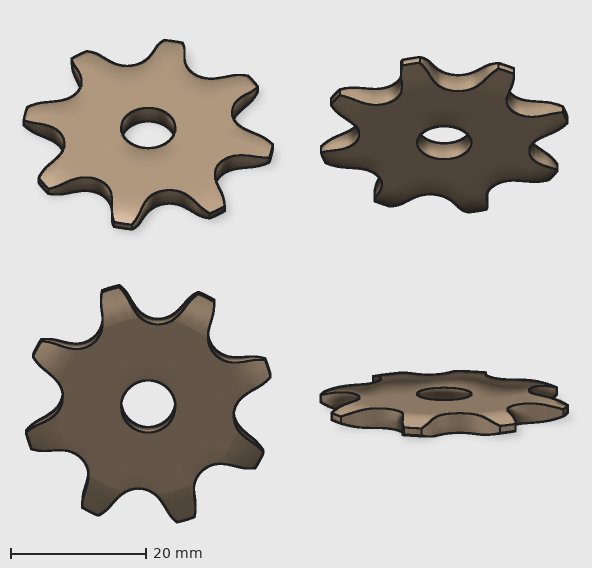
import cadquery as cq
import math

tooth_count = 8
thickness = 3.0
bore_diameter = 8.0
pitch_radius = 16.6
outer_radius = 18.6
seat_radius = 3.9
work_radius = 9.9
tip_radius = 6.7
seat_half_angle = 47.5
work_angle = 11.0
flank_length = 0.42
flat_radius = 13.6
tip_thickness = 1.05
cutter_reach = 1.2


def polar(center, radius, degrees):
    """Point at a distance and direction from a centre."""
    angle = math.radians(degrees)
    return (center[0] + radius * math.cos(angle), center[1] + radius * math.sin(angle))


def make_gap():
    """Cutter for one gap, symmetric about +Y and open beyond the outer circle."""
    seat_center = (0, pitch_radius)
    seat_end_angle = seat_half_angle - 90
    seat_bottom = polar(seat_center, seat_radius, -90)
    seat_end = polar(seat_center, seat_radius, seat_end_angle)

    work_center = polar(seat_end, work_radius, seat_end_angle + 180)
    work_end_angle = seat_end_angle + work_angle
    work_middle = polar(work_center, work_radius, seat_end_angle + work_angle / 2)
    work_end = polar(work_center, work_radius, work_end_angle)

    flank_end = polar(work_end, flank_length, work_end_angle + 90)

    tip_center = polar(flank_end, tip_radius, work_end_angle)
    center_distance = math.hypot(*tip_center)
    center_direction = math.degrees(math.atan2(tip_center[1], tip_center[0]))
    cosine = (outer_radius**2 + center_distance**2 - tip_radius**2) / (
        2 * outer_radius * center_distance
    )
    tip_end = polar((0, 0), outer_radius, center_direction + math.degrees(math.acos(cosine)))
    tip_start_angle = work_end_angle + 180
    tip_end_angle = math.degrees(
        math.atan2(tip_end[1] - tip_center[1], tip_end[0] - tip_center[0])
    )
    tip_middle = polar(tip_center, tip_radius, (tip_start_angle + tip_end_angle) / 2)

    def mirrored(point):
        return (-point[0], point[1])

    clear_point = (tip_end[0] * cutter_reach, tip_end[1] * cutter_reach)
    return (
        cq.Workplane("XY")
        .workplane(offset=-thickness)
        .moveTo(*mirrored(seat_end))
        .threePointArc(seat_bottom, seat_end)
        .threePointArc(work_middle, work_end)
        .lineTo(*flank_end)
        .threePointArc(tip_middle, tip_end)
        .lineTo(*clear_point)
        .lineTo(*mirrored(clear_point))
        .lineTo(*mirrored(tip_end))
        .threePointArc(mirrored(tip_middle), mirrored(flank_end))
        .lineTo(*mirrored(work_end))
        .threePointArc(mirrored(work_middle), mirrored(seat_end))
        .close()
        .extrude(2 * thickness)
    )


def make_blank():
    """Bored disc whose rim thins along arcs tangent to the flat side faces."""
    half = thickness / 2
    half_tip = tip_thickness / 2
    bore_radius = bore_diameter / 2
    rim_width = outer_radius - flat_radius
    drop = half - half_tip
    side_radius = (rim_width**2 + drop**2) / (2 * drop)
    side_angle = math.degrees(math.asin(rim_width / side_radius))
    side_center = (flat_radius, half - side_radius)
    upper_middle = polar(side_center, side_radius, 90 - side_angle / 2)
    return (
        cq.Workplane("XZ")
        .moveTo(bore_radius, -half)
        .lineTo(flat_radius, -half)
        .threePointArc((upper_middle[0], -upper_middle[1]), (outer_radius, -half_tip))
        .lineTo(outer_radius, half_tip)
        .threePointArc(upper_middle, (flat_radius, half))
        .lineTo(bore_radius, half)
        .close()
        .revolve(360, (0, 0, 0), (0, 1, 0))
    )


result = make_blank()
gap = make_gap()
for index in range(tooth_count):
    result = result.cut(gap.rotate((0, 0, 0), (0, 0, 1), index * 360 / tooth_count))